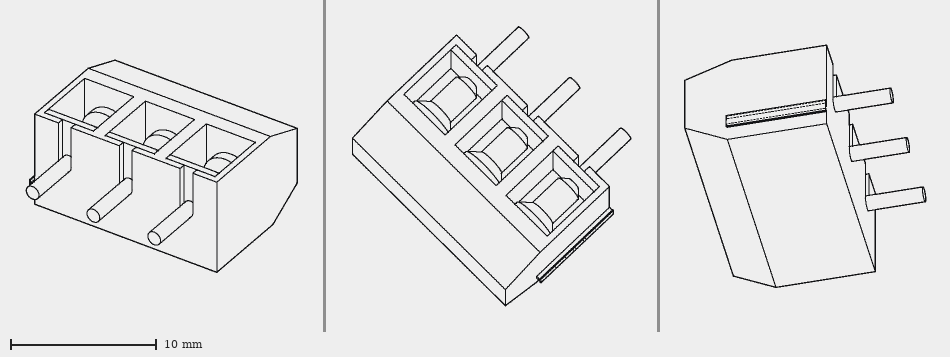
import cadquery as cq


housing_length = 15.0
housing_depth = 10.0
housing_height = 7.5
roof_slope_run = 3.33
roof_slope_drop = 1.22
base_slope_run = 3.0
base_slope_rise = 1.72

terminal_count = 3
pitch = 5.0
terminal_xs = [(i - (terminal_count - 1) / 2) * pitch for i in range(terminal_count)]

front_wall = 0.51
pocket_width = 4.03
pocket_length = 5.0

plate_thickness = 0.51
plate_back_y = front_wall + plate_thickness

pin_axis_z = 4.17
pin_diameter = 1.05
pin_radius = pin_diameter / 2
pin_protrusion = 4

screw_axis_z = 4
screw_length = pocket_length - plate_thickness
head_radius = 1.75
head_length = 0.75
shank_radius = 1.0
tip_radius = 0.5
countersink_length = head_radius - shank_radius
tip_length = shank_radius - tip_radius
pocket_floor_z = screw_axis_z - head_radius

rail_length = housing_depth - base_slope_run
rail_z = 1.4
rail_neck_height = 0.5
rail_head_height = 1.0
rail_head_thickness = 0.08
rail_projection = 0.4


def box(x_range, y_range, z_range):
    """Box spanning the given (low, high) ranges."""
    size = [high - low for low, high in (x_range, y_range, z_range)]
    corner = (x_range[0], y_range[0], z_range[0])
    return cq.Workplane("XY").box(*size, centered=False).translate(corner)


def centred(middle, width):
    return (middle - width / 2, middle + width / 2)


def make_block():
    """Side outline with both back edges sloped, extruded along the row."""
    outline = [
        (0, 0),
        (housing_depth - base_slope_run, 0),
        (housing_depth, base_slope_rise),
        (housing_depth, housing_height - roof_slope_drop),
        (housing_depth - roof_slope_run, housing_height),
        (0, housing_height),
    ]
    block = cq.Workplane("YZ").polyline(outline).close().extrude(housing_length)
    return block.translate((-housing_length / 2, 0, 0))


def make_rail():
    """Thin wide strip held off the end face by a narrower neck."""
    end_x = -housing_length / 2
    outer_x = end_x - rail_projection
    head_inner_x = outer_x + rail_head_thickness
    neck = box((head_inner_x, end_x), (0, rail_length), centred(rail_z, rail_neck_height))
    head = box((outer_x, head_inner_x), (0, rail_length), centred(rail_z, rail_head_height))
    return neck.union(head)


def make_pocket(x):
    return box(centred(x, pocket_width), (front_wall, front_wall + pocket_length),
               (pocket_floor_z, housing_height))


def make_pin_slot(x):
    """Slot through the front wall, open at the top and rounded around the pin."""
    slot = box(centred(x, pin_diameter), (0, front_wall), (pin_axis_z, housing_height))
    return slot.union(make_rod(x, 0, front_wall))


def make_rod(x, start_y, end_y):
    """Rod of the pin diameter along Y, on the pin axis."""
    rod = cq.Workplane("XZ").circle(pin_radius).extrude(start_y - end_y)
    return rod.translate((x, start_y, pin_axis_z))


def make_housing():
    housing = make_block().union(make_rail())
    for x in terminal_xs:
        housing = housing.cut(make_pocket(x)).cut(make_pin_slot(x))
    return housing


def make_plate(x):
    return box(centred(x, pocket_width), (front_wall, plate_back_y),
               (pocket_floor_z, housing_height))


def make_pin(x):
    """Pin from the plate out through the front wall."""
    return make_rod(x, -pin_protrusion, front_wall)


def make_screw(x):
    """Half outline turned about the Y axis, tip end at the plate."""
    shank_back = screw_length - head_length - countersink_length
    outline = [
        (0, 0),
        (0, tip_radius),
        (tip_length, shank_radius),
        (shank_back, shank_radius),
        (screw_length - head_length, head_radius),
        (screw_length, head_radius),
        (screw_length, 0),
    ]
    screw = cq.Workplane("YZ").polyline(outline).close().revolve(360, (0, 0), (1, 0))
    return screw.translate((x, plate_back_y, screw_axis_z))


housing = make_housing()
plates = [make_plate(x) for x in terminal_xs]
pins = [make_pin(x) for x in terminal_xs]
screws = [make_screw(x) for x in terminal_xs]

result = cq.Compound.makeCompound(
    [body.val() for body in [housing, *plates, *pins, *screws]]
)